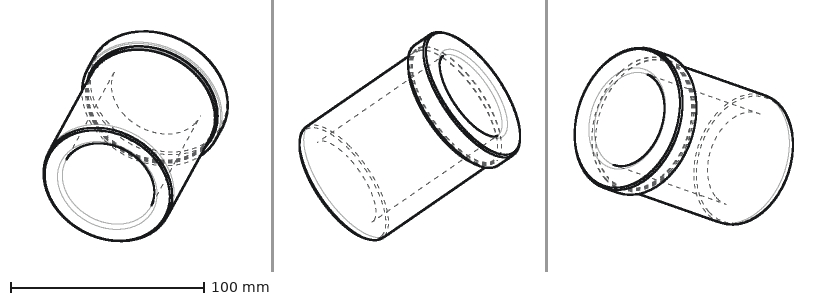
import cadquery as cq

length = 90.0
flange_radius = 76.0 / 2
flange_thickness = 12.0
body_radius = 35.0
bore_radius = 25.0

flange_back_chamfer = 1.0
flange_front_fillet = 0.5
bore_fillet = 2.0
nose_chamfer = 1.0

lead_length = 4.0
lead_drop = 0.1

relief_width = 2.0
relief_depth = 0.5
face_relief_depth = 0.5
corner_fillet = 0.45
face_relief_radius = 35.8

nose_y = -length / 2
back_y = length / 2
flange_front_y = back_y - flange_thickness
relief_end_y = flange_front_y - relief_width
relief_radius = body_radius - relief_depth
face_relief_floor_y = flange_front_y + face_relief_depth
lead_radius = body_radius - lead_drop


def make_blank():
    """Half section (radius, Y) revolved about the Y axis."""
    section = (
        cq.Workplane("XY")
        .moveTo(bore_radius + bore_fillet, nose_y)
        .lineTo(lead_radius - nose_chamfer, nose_y)
        .lineTo(lead_radius, nose_y + nose_chamfer)
        .lineTo(body_radius, nose_y + lead_length)
        .lineTo(body_radius, relief_end_y)
        .lineTo(relief_radius, relief_end_y + relief_depth)
        .lineTo(relief_radius, face_relief_floor_y - corner_fillet)
        .radiusArc((relief_radius + corner_fillet, face_relief_floor_y), corner_fillet)
        .lineTo(face_relief_radius - face_relief_depth, face_relief_floor_y)
        .lineTo(face_relief_radius, flange_front_y)
        .lineTo(flange_radius - flange_front_fillet, flange_front_y)
        .radiusArc((flange_radius, flange_front_y + flange_front_fillet), -flange_front_fillet)
        .lineTo(flange_radius, back_y - flange_back_chamfer)
        .lineTo(flange_radius - flange_back_chamfer, back_y)
        .lineTo(bore_radius + bore_fillet, back_y)
        .radiusArc((bore_radius, back_y - bore_fillet), -bore_fillet)
        .lineTo(bore_radius, nose_y + bore_fillet)
        .radiusArc((bore_radius + bore_fillet, nose_y), -bore_fillet)
        .close()
    )
    return section.revolve(360, (0, 0, 0), (0, 1, 0))


result = make_blank()